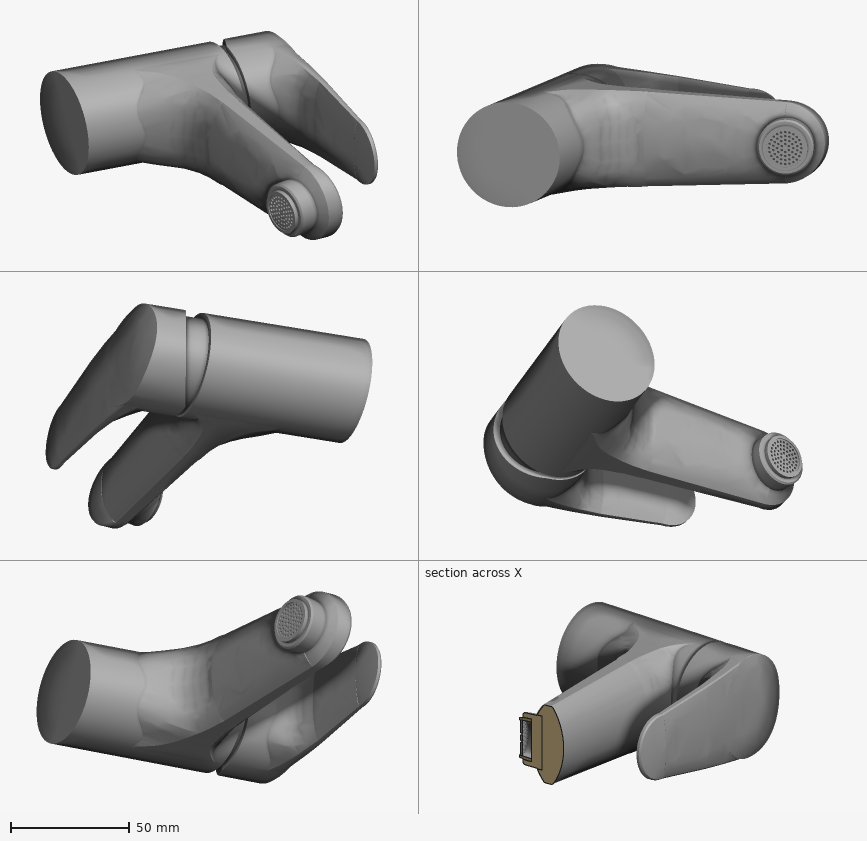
import cadquery as cq
import math


LEAN = 6.8
COLUMN_RADIUS = 45.0 / 2
COLUMN_TOP = 70.2
LEAN_SLOPE = math.tan(math.radians(LEAN))
COLUMN_AXIS = cq.Vector(math.sin(math.radians(LEAN)), math.cos(math.radians(LEAN)), 0)

NECK_RADIUS = 20.0
NECK_HEIGHT = 13.6
NECK_ROUND = 7.1

OVERALL_LENGTH = 142.9
SPOUT_TIP = OVERALL_LENGTH - COLUMN_RADIUS / math.cos(math.radians(LEAN))
SPOUT_NOSE_TILT = 17.5

SPOUT_ROOT_SECTIONS = [
    (5.7, 70.2, 70.0, 28.6, 5.7, 22.3),
    (11.5, 70.0, 68.6, 33.7, 7.1, 22.2),
    (17.2, 70.0, 62.3, 40.5, 11.5, 21.7),
    (22.9, 70.0, 59.3, 44.3, 18.6, 21.3),
    (28.6, 69.6, 58.5, 46.9, 32.5, 21.0),
    (34.3, 68.6, 58.2, 49.0, 40.9, 20.7),
    (40.0, 68.3, 58.3, 50.5, 44.3, 20.6),
    (45.7, 68.3, 58.7, 51.7, 45.6, 20.3),
]
SPOUT_ARM_SECTIONS = [
    SPOUT_ROOT_SECTIONS[-1],
    (104.8, 71.0, 65.0, 60.5, 53.7, 17.5),
]
EDGE_BEVEL = 0.6
CROWN_FULLNESS = 0.6

HANDLE_BOTTOM = 72.6
CROWN_CUT_START = cq.Vector(8.3, HANDLE_BOTTOM, 0)
CROWN_CUT_ANGLE = 21.8
LEVER_TIP = 91.8
LEVER_NOSE_TILT = 0.5
CROWN_DOME_HALF_WIDTH = 22.9

CROWN_TOP_SECTIONS = [
    (-14.3, 92.3, 89.9),
    (0.0, 97.2, 94.8),
    (14.3, 99.0, 96.8),
    (28.6, 100.2, 98.5),
    (42.9, 101.8, 100.3),
]

LEVER_ROOT_SECTIONS = [
    (11.5, 98.3, 96.0, 86.5, 74.3, 22.3),
    (17.2, 99.0, 97.0, 90.3, 73.6, 21.7),
    (22.9, 99.6, 97.8, 92.9, 73.6, 21.0),
    (28.6, 100.3, 98.6, 94.5, 77.9, 20.3),
    (34.3, 100.9, 99.5, 95.6, 87.5, 19.7),
    (40.0, 101.5, 100.0, 96.6, 93.2, 19.0),
    (45.7, 101.9, 100.5, 97.5, 95.0, 18.3),
]
LEVER_BLADE_SECTIONS = [
    LEVER_ROOT_SECTIONS[-1],
    (76.2, 103.5, 102.0, 99.8, 98.2, 14.5),
]

OUTLET_TILT = 13.0
SLEEVE_END = cq.Vector(107.2, 49.5, 0)
SLEEVE_RADIUS = 11.9
SLEEVE_LENGTH = 10.0
SLEEVE_CHAMFER = 0.7
RING_RADIUS = 9.5
RING_DEPTH = 4.3
RING_LIP = 1.9
STRAINER_RADIUS = 8.1
STRAINER_INSET = 0.5
STRAINER_THICKNESS = 1.5
HOLE_RADIUS = 0.6
HOLE_PITCH = 1.7
HOLE_RINGS = 4
HOLES_PER_RING_STEP = 6

FAR = 285.8


def section_wire(x, top, upper, lower, bottom, half_width):
    """Closed section across an arm: crowned top and bottom, upright flanks, bevelled upper edges."""
    crown = half_width - EDGE_BEVEL
    shoulder = half_width * CROWN_FULLNESS
    top_control = upper + (top - upper) * 4 / 3
    bottom_control = lower + (bottom - lower) * 4 / 3
    return (
        cq.Workplane("YZ", origin=(x, 0, 0))
        .moveTo(upper, crown)
        .bezier([(upper, crown), (top_control, shoulder), (top_control, -shoulder), (upper, -crown)])
        .lineTo(upper - EDGE_BEVEL, -half_width)
        .lineTo(lower, -half_width)
        .bezier([
            (lower, -half_width),
            (bottom_control, -shoulder),
            (bottom_control, shoulder),
            (lower, half_width),
        ])
        .lineTo(upper - EDGE_BEVEL, half_width)
        .close()
        .val()
    )


def arm(sections):
    """Smooth solid through a list of cross-sections."""
    return cq.Workplane(cq.Solid.makeLoft([section_wire(*s) for s in sections]))


def leaning_cylinder(radius, start_level, length):
    """Cylinder on the column axis, starting where the axis reaches start_level."""
    base = cq.Vector(start_level * LEAN_SLOPE, start_level, 0)
    return cq.Workplane(cq.Solid.makeCylinder(radius, length, base, COLUMN_AXIS))


def block_above(level):
    """Large block whose underside is at the given level."""
    return cq.Workplane("XY").box(FAR, FAR, FAR).translate((0, level + FAR / 2, 0))


def tilted_up(angle, length):
    """Vector of the given length, square to a line that rises by angle towards +X."""
    return cq.Vector(-math.sin(math.radians(angle)), math.cos(math.radians(angle)), 0) * length


def round_end(start, tip, start_half_width):
    """Upright prism with a round end that spans start to tip in X."""
    return (
        cq.Workplane("XZ", origin=(0, FAR / 2, 0))
        .moveTo(start, -start_half_width)
        .threePointArc((tip, 0), (start, start_half_width))
        .close()
        .extrude(FAR)
    )


def dome(edge_centre, tilt, half_width, rise):
    """Sphere whose cap stands on the tilted edge plane by rise, upward or, if negative, downward."""
    radius = (half_width**2 + rise**2) / (2 * abs(rise))
    centre = edge_centre + tilted_up(tilt, rise - math.copysign(radius, rise))
    return cq.Workplane("XY").sphere(radius).translate(centre)


def round_nose(section, tip, tilt):
    """Round end that carries on from a section to the tip, crowned above and below."""
    start, top, upper, lower, bottom, half_width = section
    top_dome = dome(cq.Vector(start, upper, 0), tilt, half_width, top - upper)
    bottom_dome = dome(cq.Vector(start, lower, 0), tilt, half_width, bottom - lower)
    nose = round_end(start, tip, half_width).intersect(top_dome).intersect(bottom_dome)
    return nose.faces(">X").edges(">Y").chamfer(EDGE_BEVEL)


def outlet_plane(distance):
    """Plane square to the outlet axis, the given distance past the sleeve's end."""
    axis = cq.Vector(math.sin(math.radians(OUTLET_TILT)), -math.cos(math.radians(OUTLET_TILT)), 0)
    return cq.Workplane(cq.Plane(SLEEVE_END + axis * distance, (0, 0, 1), axis))


def outlet_cylinder(radius, outer, inner):
    """Cylinder on the outlet axis, between two distances past the sleeve's end."""
    return outlet_plane(inner).circle(radius).extrude(outer - inner)


def make_body():
    """Leaning column with the spout, and the socket for the outlet sleeve."""
    column = leaning_cylinder(COLUMN_RADIUS, -COLUMN_RADIUS, FAR)
    column = column.intersect(block_above(0))
    body = column.union(arm(SPOUT_ROOT_SECTIONS)).cut(block_above(COLUMN_TOP))
    body = body.union(arm(SPOUT_ARM_SECTIONS))
    body = body.union(round_nose(SPOUT_ARM_SECTIONS[-1], SPOUT_TIP, SPOUT_NOSE_TILT))
    return body.cut(outlet_cylinder(SLEEVE_RADIUS, 0, -SLEEVE_LENGTH))


def make_neck():
    """Round-shouldered neck standing on the column."""
    sink = NECK_RADIUS
    neck = leaning_cylinder(NECK_RADIUS, COLUMN_TOP - sink, NECK_HEIGHT + sink)
    neck = neck.faces(">Y").edges().fillet(NECK_ROUND)
    return neck.intersect(block_above(COLUMN_TOP))


def make_crown():
    """Leaning cylinder with a domed top and an underside that slopes up at the rear."""
    domed_block = arm([
        (x, crest, side, HANDLE_BOTTOM, HANDLE_BOTTOM, CROWN_DOME_HALF_WIDTH)
        for x, crest, side in CROWN_TOP_SECTIONS
    ])
    crown = leaning_cylinder(COLUMN_RADIUS, COLUMN_TOP - COLUMN_RADIUS, FAR).intersect(domed_block)
    rear_cut = (
        cq.Workplane("XY")
        .box(FAR, FAR, FAR)
        .translate((0, -FAR / 2, 0))
        .rotate((0, 0, 0), (0, 0, 1), -CROWN_CUT_ANGLE)
        .translate(CROWN_CUT_START)
    )
    return crown.cut(rear_cut)


def make_handle(neck):
    """Crown that covers the neck, with the lever growing out of it."""
    handle = make_crown().union(arm(LEVER_ROOT_SECTIONS))
    handle = handle.union(arm(LEVER_BLADE_SECTIONS))
    handle = handle.union(round_nose(LEVER_BLADE_SECTIONS[-1], LEVER_TIP, LEVER_NOSE_TILT))
    return handle.cut(neck)


def make_sleeve():
    """Outlet sleeve with a chamfered rim and a seat for the aerator ring."""
    sleeve = outlet_cylinder(SLEEVE_RADIUS, 0, -SLEEVE_LENGTH)
    sleeve = sleeve.faces("<Y").edges().chamfer(SLEEVE_CHAMFER)
    return sleeve.cut(outlet_cylinder(RING_RADIUS, 0, -RING_DEPTH))


def make_ring():
    """Aerator ring whose lip stands out of the sleeve."""
    ring = outlet_cylinder(RING_RADIUS, RING_LIP, -RING_DEPTH)
    return ring.cut(outlet_cylinder(STRAINER_RADIUS, RING_LIP, -RING_DEPTH))


def make_strainer():
    """Disc with rings of small through holes."""
    inner_face = RING_LIP - STRAINER_INSET - STRAINER_THICKNESS
    disc = outlet_plane(inner_face).circle(STRAINER_RADIUS)
    for ring_number in range(1, HOLE_RINGS + 1):
        hole_count = HOLES_PER_RING_STEP * ring_number
        disc = disc.polarArray(HOLE_PITCH * ring_number, 0, 360, hole_count).circle(HOLE_RADIUS)
    return disc.extrude(STRAINER_THICKNESS)


body = make_body()
neck = make_neck()
handle = make_handle(neck)
sleeve = make_sleeve()
ring = make_ring()
strainer = make_strainer()

result = cq.Compound.makeCompound(
    [body.val(), neck.val(), handle.val(), sleeve.val(), ring.val(), strainer.val()]
)